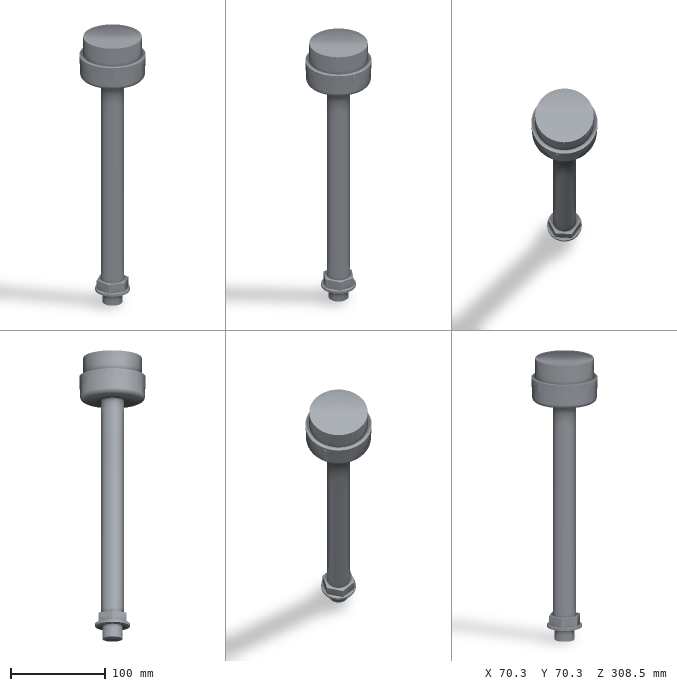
import cadquery as cq

total_height = 308.5

stub_diameter = 21.3
washer_diameter = 36.7
washer_bottom = 14.0
washer_thickness = 2.8
nut_across_corners = 34.5
nut_height = 10.2

tube_diameter = 24.7

collar_top_diameter = 70.3
collar_base_diameter = 68.8
collar_height = 26.2
rim_radius = 4.5
cap_diameter = 62.0
cap_height = 20.7

mark_angle = -39.0
mark_width = 2.5
mark_height = 7.0
mark_outer_radius = 35.8
mark_inner_radius = 34.0
mark_top_gap = 2.8

washer_top = washer_bottom + washer_thickness
nut_top = washer_top + nut_height
cap_bottom = total_height - cap_height
collar_bottom = cap_bottom - collar_height


def cylinder(diameter, bottom, top):
    return cq.Workplane("XY", origin=(0, 0, bottom)).circle(diameter / 2).extrude(top - bottom)


def make_foot():
    stub = cylinder(stub_diameter, 0, washer_bottom)
    washer = cylinder(washer_diameter, washer_bottom, washer_top)
    nut = (
        cq.Workplane("XY", origin=(0, 0, washer_top))
        .polygon(6, nut_across_corners)
        .extrude(nut_height)
    )
    return stub.union(washer).union(nut)


def make_collar():
    base_radius = collar_base_diameter / 2
    profile = (
        cq.Workplane("XZ")
        .moveTo(0, collar_bottom)
        .lineTo(base_radius - rim_radius, collar_bottom)
        .radiusArc((base_radius, collar_bottom + rim_radius), -rim_radius)
        .lineTo(collar_top_diameter / 2, cap_bottom)
        .lineTo(0, cap_bottom)
        .close()
    )
    return profile.revolve(360, (0, 0, 0), (0, 1, 0))


def make_index_mark():
    mark_bottom = cap_bottom - mark_top_gap - mark_height
    mark = (
        cq.Workplane("XY", origin=(mark_inner_radius, 0, mark_bottom))
        .box(mark_outer_radius - mark_inner_radius, mark_width, mark_height, centered=(False, True, False))
    )
    return mark.rotate((0, 0, 0), (0, 0, 1), mark_angle)


tube = cylinder(tube_diameter, nut_top, collar_bottom)
cap = cylinder(cap_diameter, cap_bottom, total_height)

result = make_foot().union(tube).union(make_collar()).union(cap).union(make_index_mark())